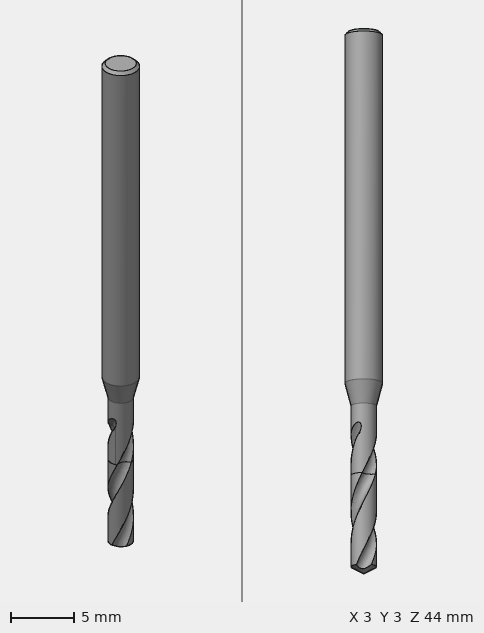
import cadquery as cq
import math

total_length = 44.0
shank_radius = 1.5
shank_chamfer = 0.25
drill_radius = 1.0

point_height = 0.55
joint_height = 8.0
neck_top = 13.65
shank_bottom = 15.5

flute_count = 2
helix_pitch = 12.85
flute_top = 10.9
flute_width_angle = 71.0
flute_edge_angle = 180.0
web_radius = 0.55
runout_length = 2.65
runout_slope = 1.0

half_width_angle = math.radians(flute_width_angle / 2)
edge_x = drill_radius * math.cos(half_width_angle)
edge_y = drill_radius * math.sin(half_width_angle)
groove_depth = edge_x - web_radius
groove_radius = (groove_depth**2 + edge_y**2) / (2 * groove_depth)
groove_center = web_radius + groove_radius

flute_top_angle = flute_edge_angle + flute_width_angle / 2
flute_twist = 360 * flute_top / helix_pitch
runout_rise = runout_length * runout_slope


def turned(profile, seam_angle):
    """Revolve a radius-height profile about Z, starting at the given angle."""
    body = cq.Workplane("XZ").polyline(profile).close().revolve(360, (0, 0, 0), (0, 1, 0))
    return body.rotate((0, 0, 0), (0, 0, 1), seam_angle)


def helical_groove(top_angle):
    """Groove that climbs from the point to flute_top."""
    section = cq.Wire.makeCircle(groove_radius, cq.Vector(groove_center, 0, 0), cq.Vector(0, 0, 1))
    twisted = cq.Solid.extrudeLinearWithRotation(
        section, [], cq.Vector(0, 0, 0), cq.Vector(0, 0, flute_top), flute_twist
    )
    return cq.Workplane(twisted).rotate((0, 0, 0), (0, 0, 1), top_angle - flute_twist)


def straight_runout(top_angle):
    """Straight continuation of the groove, flatter than the helix, out through the side."""
    section = cq.Wire.makeCircle(groove_radius, cq.Vector(groove_center, 0, flute_top), cq.Vector(0, 0, 1))
    runout = cq.Solid.extrudeLinear(section, [], cq.Vector(0, runout_length, runout_rise))
    return cq.Workplane(runout).rotate((0, 0, 0), (0, 0, 1), top_angle)


def cut_flutes(body, groove_sections):
    """Cut every flute, evenly spaced about the axis, from a body."""
    for index in range(flute_count):
        top_angle = flute_top_angle + index * 360 / flute_count
        for groove_section in groove_sections:
            body = body.cut(groove_section(top_angle))
    return body


shank = turned(
    [
        (0, joint_height),
        (drill_radius, joint_height),
        (drill_radius, neck_top),
        (shank_radius, shank_bottom),
        (shank_radius, total_length - shank_chamfer),
        (shank_radius - shank_chamfer, total_length),
        (0, total_length),
    ],
    seam_angle=-90,
)
shank = cut_flutes(shank, [helical_groove, straight_runout])

cutting_tip = turned(
    [
        (0, 0),
        (drill_radius, point_height),
        (drill_radius, joint_height),
        (0, joint_height),
    ],
    seam_angle=180,
)
cutting_tip = cut_flutes(cutting_tip, [helical_groove])

result = cq.Compound.makeCompound([shank.val(), cutting_tip.val()])